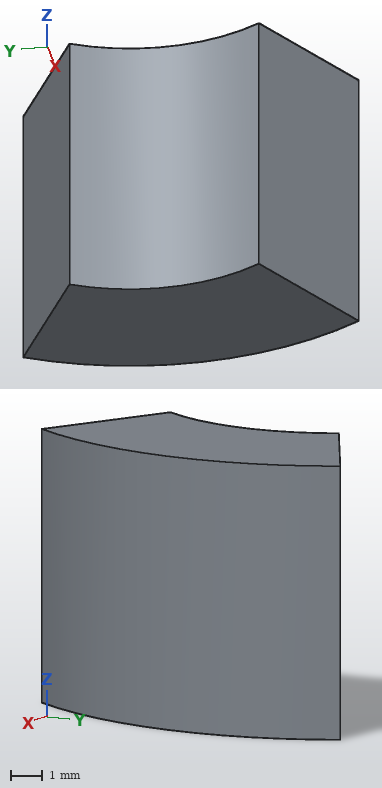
import cadquery as cq
import math

outer_radius = 11.0
inner_radius = 6.2
height = 9.0
half_angle = math.radians(30)


def polar_point(radius, angle):
    return (radius * math.cos(angle), radius * math.sin(angle))


result = (
    cq.Workplane("XY")
    .moveTo(*polar_point(inner_radius, -half_angle))
    .lineTo(*polar_point(outer_radius, -half_angle))
    .threePointArc(polar_point(outer_radius, 0), polar_point(outer_radius, half_angle))
    .lineTo(*polar_point(inner_radius, half_angle))
    .threePointArc(polar_point(inner_radius, 0), polar_point(inner_radius, -half_angle))
    .close()
    .extrude(height)
)